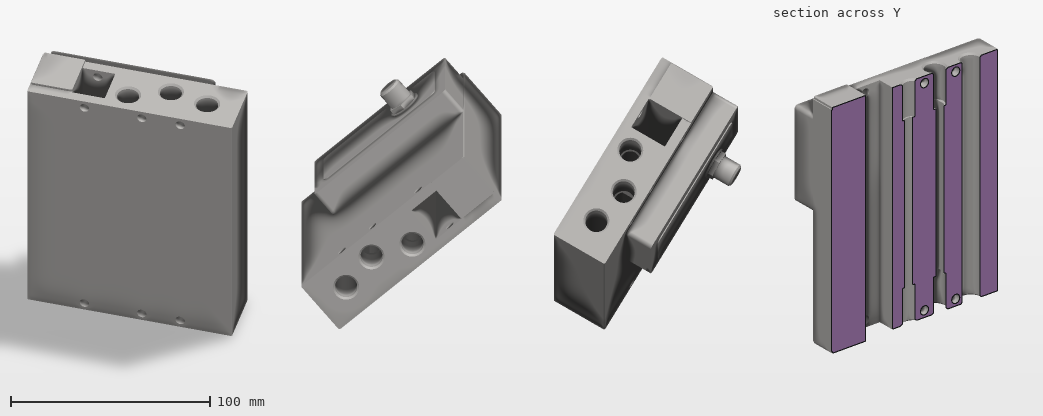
import cadquery as cq

BLOCK_WIDTH = 106.8
BLOCK_DEPTH = 30.0
BLOCK_HEIGHT = 136.6
BLOCK_EDGE_CHAMFER = 0.5

OVERALL_HEIGHT = 139.0
PAD_LEFT = 0.5
PAD_RIGHT = 22.0
PAD_DEPTH = 24.3
PAD_CORNER_RADIUS = 0.8

WINDOW_WIDTH = 17.1
WINDOW_FRONT = 5.3
WINDOW_DEPTH = 19.6

PORT_PITCH = 20.0
FIRST_PORT_X = 49.6
PORT_RADIUS = 5.5
PORT_MOUTH_RADIUS = 6.5
PORT_MOUTH_DEPTH = PORT_MOUTH_RADIUS - PORT_RADIUS
PORT_DEPTH = 20.8
PASSAGE_RADIUS = 4.7
FLATTED_PASSAGE_WIDTH = 7.5
PORT_STAGGER = 4.0
MIDDLE_PORT_Y = BLOCK_DEPTH / 2
LOW_PORT_Y = MIDDLE_PORT_Y - PORT_STAGGER
HIGH_PORT_Y = MIDDLE_PORT_Y + PORT_STAGGER

CROSS_HOLE_DIAMETER = 4.9
CROSS_HOLE_END_DISTANCE = 4.2
CROSS_HOLE_XS = (29.9, 59.8, 79.8)

HOUSING_WIDTH = 85.8
HOUSING_DEPTH = 14.5
HOUSING_HEIGHT = 54.3
HOUSING_CORNER_RADIUS = 2.1
HOUSING_CENTER_Z = 31.7

PLATE_LEFT = 6.7
PLATE_WIDTH = 72.7
PLATE_HEIGHT = 35.5
PLATE_THICKNESS = 0.5
PLATE_CORNER_RADIUS = 2.8

CONNECTOR_X = 25.6
CONNECTOR_Z = 28.8
WASHER_RADIUS = 8.3
WASHER_THICKNESS = 1.0
NUT_ACROSS_CORNERS = 15.4
NUT_THICKNESS = 2.6
PLUG_RADIUS = 6.1
PLUG_LENGTH = 9.7
PLUG_CHAMFER = 1.0


def box_from(x, y, z, width, depth, height):
    """Box placed by its lowest corner."""
    return cq.Workplane("XY").box(width, depth, height, centered=False).translate((x, y, z))


def back_plane(x, y, z):
    """Workplane facing +Y, with its local Y axis along Z."""
    return cq.Workplane(cq.Plane(origin=(x, y, z), xDir=(-1, 0, 0), normal=(0, 1, 0)))


def vertical_cylinder(x, y, z, radius, height):
    return cq.Workplane("XY").circle(radius).extrude(height).translate((x, y, z))


def make_block():
    block = box_from(0, 0, -BLOCK_HEIGHT / 2, BLOCK_WIDTH, BLOCK_DEPTH, BLOCK_HEIGHT)
    return block.edges("|Z").chamfer(BLOCK_EDGE_CHAMFER)


def make_pads():
    """Both end pads, made as one bar running through the block."""
    bar = box_from(
        PAD_LEFT, BLOCK_DEPTH - PAD_DEPTH, -OVERALL_HEIGHT / 2,
        PAD_RIGHT - PAD_LEFT, PAD_DEPTH, OVERALL_HEIGHT,
    )
    return bar.edges("|Z").fillet(PAD_CORNER_RADIUS)


def make_window():
    return box_from(
        PAD_RIGHT, WINDOW_FRONT, -BLOCK_HEIGHT / 2,
        WINDOW_WIDTH, WINDOW_DEPTH, BLOCK_HEIGHT,
    )


def make_port_end(x, y):
    """Port bore with its flared mouth, at the top end."""
    top = BLOCK_HEIGHT / 2
    bore = vertical_cylinder(x, y, top - PORT_DEPTH, PORT_RADIUS, PORT_DEPTH)
    mouth = (
        cq.Workplane("XY", origin=(x, y, top))
        .circle(PORT_MOUTH_RADIUS)
        .workplane(offset=-PORT_MOUTH_DEPTH)
        .circle(PORT_RADIUS)
        .loft()
    )
    return bore.union(mouth)


def make_port(x, y, passage):
    upper = make_port_end(x, y)
    return passage.translate((x, y, 0)).union(upper).union(upper.mirror("XY"))


def make_ports():
    round_passage = vertical_cylinder(0, 0, -BLOCK_HEIGHT / 2, PASSAGE_RADIUS, BLOCK_HEIGHT)
    full_passage = vertical_cylinder(0, 0, -BLOCK_HEIGHT / 2, PORT_RADIUS, BLOCK_HEIGHT)
    flats = cq.Workplane("XY").box(FLATTED_PASSAGE_WIDTH, 2 * PASSAGE_RADIUS, BLOCK_HEIGHT)
    flatted_passage = round_passage.intersect(flats)
    return [
        make_port(FIRST_PORT_X, LOW_PORT_Y, round_passage),
        make_port(FIRST_PORT_X + PORT_PITCH, HIGH_PORT_Y, flatted_passage),
        make_port(FIRST_PORT_X + 2 * PORT_PITCH, MIDDLE_PORT_Y, full_passage),
    ]


def make_cross_holes():
    hole_z = BLOCK_HEIGHT / 2 - CROSS_HOLE_END_DISTANCE
    centers = [(-x, z) for x in CROSS_HOLE_XS for z in (-hole_z, hole_z)]
    return back_plane(0, 0, 0).pushPoints(centers).circle(CROSS_HOLE_DIAMETER / 2).extrude(BLOCK_DEPTH)


def make_rear_slab(center_x, base_y, width, thickness, height, corner_radius):
    """Rounded rectangle standing on the back, level with the housing."""
    slab = back_plane(center_x, base_y, HOUSING_CENTER_Z).rect(width, height).extrude(thickness)
    return slab.edges("|Y").fillet(corner_radius)


def make_connector(base_y):
    washer = back_plane(CONNECTOR_X, base_y, CONNECTOR_Z).circle(WASHER_RADIUS).extrude(WASHER_THICKNESS)
    nut_y = base_y + WASHER_THICKNESS
    nut = (
        back_plane(CONNECTOR_X, nut_y, CONNECTOR_Z)
        .transformed(rotate=(0, 0, 90))
        .polygon(6, NUT_ACROSS_CORNERS)
        .extrude(NUT_THICKNESS)
    )
    plug = (
        back_plane(CONNECTOR_X, nut_y + NUT_THICKNESS, CONNECTOR_Z)
        .circle(PLUG_RADIUS)
        .extrude(PLUG_LENGTH)
        .faces(">Y")
        .chamfer(PLUG_CHAMFER)
    )
    return washer.union(nut).union(plug)


housing_back = BLOCK_DEPTH + HOUSING_DEPTH
housing_center_x = HOUSING_WIDTH / 2
housing = make_rear_slab(
    housing_center_x, BLOCK_DEPTH, HOUSING_WIDTH, HOUSING_DEPTH, HOUSING_HEIGHT, HOUSING_CORNER_RADIUS
)
plate_center_x = PLATE_LEFT + PLATE_WIDTH / 2
plate = make_rear_slab(
    plate_center_x, housing_back, PLATE_WIDTH, PLATE_THICKNESS, PLATE_HEIGHT, PLATE_CORNER_RADIUS
)
connector = make_connector(housing_back + PLATE_THICKNESS)

result = make_block().union(make_pads())
for opening in [make_window(), make_cross_holes(), *make_ports()]:
    result = result.cut(opening)
for addition in (housing, plate, connector):
    result = result.union(addition)